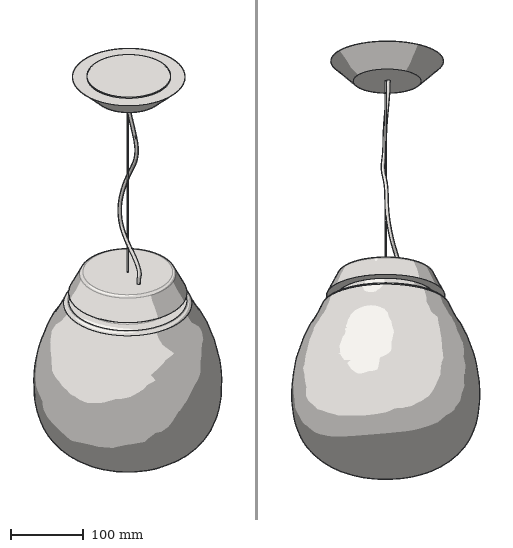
import cadquery as cq


total_height = 605.27
shade_height = 239.5
ring_height = 4.0
cap_top = 289.5

shade_radius = 129.85
shade_widest_height = 111.0
shade_neck_radius = 88.5
shade_flank = [
    (50.0, 5.5),
    (93.0, 24.0),
    (117.0, 51.0),
    (shade_radius, shade_widest_height),
    (121.0, 170.0),
    (106.5, 206.0),
    (shade_neck_radius, shade_height),
]
shade_start_direction = (1.0, 0.0)
shade_neck_direction = (-0.42, 1.0)

ring_bore_radius = 81.5
ring_land = 1.5
ring_bulge = 0.8

cap_top_radius = 65.0
cap_skirt_radius = 81.7
cap_skirt_height = 33.0
cap_top_fillet = 5.0
neck_radius = 66.5
flange_root_height = 6.3
flange_bulge = 0.9
neck_fillet = 1.5

canopy_offset = 3.2
canopy_top_radius = 77.8
canopy_bottom_radius = 46.8
canopy_height = 29.5
plate_radius = 57.7
plate_thickness = 1.9

wire_diameter = 2.0
cable_diameter = 5.0
cable_outlet = 34.6

ring_top = shade_height + ring_height
skirt_bottom = cap_top - cap_skirt_height
canopy_top = total_height - plate_thickness
canopy_bottom = canopy_top - canopy_height

cable_course = [
    (2.8, -2.6, canopy_bottom),
    (3.9, -0.6, 552.0),
    (7.6, 7.0, 509.0),
    (9.1, 9.1, 490.0),
    (7.0, 8.2, 470.0),
    (-2.7, 2.7, 443.0),
    (-5.8, -4.6, 419.0),
    (-8.2, -8.2, 392.0),
    (-4.7, -7.9, 366.0),
    (2.7, -5.8, 350.0),
    (14.0, -2.5, 334.0),
    (27.5, 0.9, 317.0),
    (33.5, 1.8, 304.0),
    (cable_outlet, 0.0, cap_top),
]
straight_down = (0.0, 0.0, -1.0)


def make_shade():
    profile = (
        cq.Workplane("XZ")
        .spline(shade_flank, tangents=[shade_start_direction, shade_neck_direction], includeCurrent=True)
        .lineTo(0, shade_height)
        .close()
    )
    return profile.revolve(360, (0, 0), (0, 1))


def make_ring():
    land_radius = ring_bore_radius + ring_land
    profile = (
        cq.Workplane("XZ")
        .moveTo(ring_bore_radius, shade_height)
        .lineTo(shade_neck_radius, shade_height)
        .sagittaArc((land_radius, ring_top), -ring_bulge)
        .lineTo(ring_bore_radius, ring_top)
        .close()
    )
    return profile.revolve(360, (0, 0), (0, 1))


def make_cap():
    flange_root = shade_height + flange_root_height
    profile = (
        cq.Workplane("XZ")
        .moveTo(0, shade_height)
        .lineTo(ring_bore_radius, shade_height)
        .lineTo(ring_bore_radius, ring_top)
        .sagittaArc((neck_radius, flange_root), -flange_bulge)
        .lineTo(neck_radius, skirt_bottom)
        .lineTo(cap_skirt_radius, skirt_bottom)
        .lineTo(cap_top_radius, cap_top)
        .lineTo(0, cap_top)
        .close()
    )
    cap = profile.revolve(360, (0, 0), (0, 1))
    cap = cap.faces(">Z").edges().fillet(cap_top_fillet)
    neck_root = cq.selectors.NearestToPointSelector((0, 0, flange_root))
    return cap.edges(neck_root).fillet(neck_fillet)


def make_canopy():
    profile = (
        cq.Workplane("XZ")
        .moveTo(0, canopy_bottom)
        .lineTo(canopy_bottom_radius, canopy_bottom)
        .lineTo(canopy_top_radius, canopy_top)
        .lineTo(0, canopy_top)
        .close()
    )
    return profile.revolve(360, (0, 0), (0, 1)).translate((canopy_offset, 0, 0))


def make_mounting_plate():
    base = cq.Workplane("XY", origin=(canopy_offset, 0, canopy_top))
    return base.circle(plate_radius).extrude(plate_thickness)


def make_wire():
    base = cq.Workplane("XY", origin=(0, 0, cap_top))
    return base.circle(wire_diameter / 2).extrude(canopy_bottom - cap_top)


def make_cable():
    path = cq.Workplane("XY").spline(cable_course, tangents=[straight_down, straight_down])
    section = cq.Workplane("XY", origin=cable_course[0]).circle(cable_diameter / 2)
    return section.sweep(path)


shade = make_shade()
ring = make_ring()
cap = make_cap()
canopy = make_canopy()
mounting_plate = make_mounting_plate()
wire = make_wire()
cable = make_cable()

result = cq.Compound.makeCompound(
    [
        shade.val(),
        ring.val(),
        cap.val(),
        canopy.val(),
        mounting_plate.val(),
        wire.val(),
        cable.val(),
    ]
)